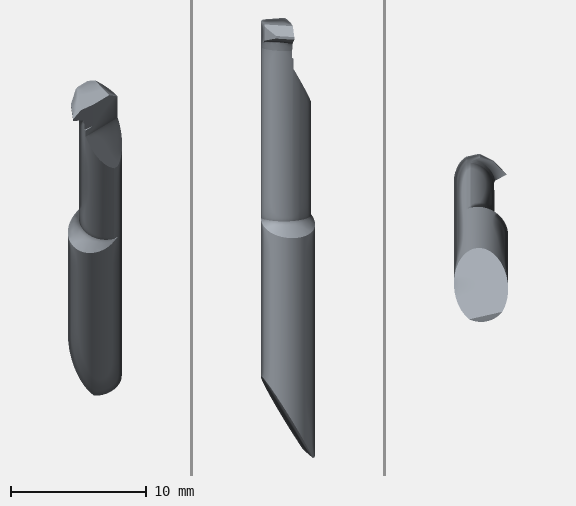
import cadquery as cq
import math

length = 32.98
diameter = 4.0
radius = diameter / 2
end_angle = math.radians(60)
foot_x = 1.55

shoulder_z = 18.07
neck_offset = 1.02
flare_bottom = 31.05
flare_top = 31.63
flare_width = 0.1
half_width = 1.88

undercut_z = 31.53
land_bottom = 32.12
land_top = 32.32
top_edge_y = -1.3
undercut_y = -1.0
relief_angle = math.radians(30)
flank_start = (-half_width, -0.35)
flank_end = (-1.3, -1.25)
back_chamfer = 0.8

rake_x = 0.13
rake_bottom = 29.65
chip_bottom = 30.4
chip_start_y = -0.23
chip_end_x = -0.1

margin = diameter


def cylinder(bottom, top, center_y=0.0):
    return cq.Workplane("XY", origin=(0, center_y, bottom)).circle(radius).extrude(top - bottom)


def side_prism(points):
    """Prism along Y from an outline in X and Z."""
    return cq.Workplane("XZ").polyline(points).close().extrude(margin, both=True)


def plan_prism(points, bottom):
    """Vertical prism from an outline in X and Y, reaching past the top."""
    return cq.Workplane("XY", origin=(0, 0, bottom)).polyline(points).close().extrude(length + margin - bottom)


def make_shank():
    cone_bottom = shoulder_z - neck_offset
    cone = cq.Workplane(cq.Solid.makeCone(
        radius + neck_offset, radius, neck_offset, cq.Vector(0, neck_offset, cone_bottom)
    ))
    shoulder = cylinder(cone_bottom, shoulder_z).intersect(cone)
    return cylinder(0, cone_bottom).union(shoulder)


def make_upper_blank(bottom):
    slab = cq.Workplane("XY", origin=(0, 0, bottom)).rect(2 * half_width, 2 * margin)
    return cylinder(bottom, length).intersect(slab.extrude(length - bottom))


def make_neck():
    blank = make_upper_blank(shoulder_z)
    flare = cq.Workplane(cq.Solid.makeCone(
        radius, radius + flare_width, flare_top - flare_bottom, cq.Vector(0, neck_offset, flare_bottom)
    ))
    stem = cylinder(shoulder_z, land_bottom, neck_offset)
    return blank.intersect(stem.union(flare))


def make_head():
    outline = [
        (margin, undercut_z),
        (undercut_y, undercut_z),
        (-radius, land_bottom),
        (-radius, land_top),
        (top_edge_y, length),
        (margin, length),
    ]
    across = cq.Vector(math.sin(relief_angle), math.cos(relief_angle), 0)
    along = cq.Vector(math.cos(relief_angle), -math.sin(relief_angle), 0)
    plane = cq.Plane(origin=(0, 0, 0), xDir=across, normal=along)
    normal_outline = [(y * math.cos(relief_angle), z) for y, z in outline]
    tooth = cq.Workplane(plane).polyline(normal_outline).close().extrude(margin, both=True)
    flank_slope = (flank_end[1] - flank_start[1]) / (flank_end[0] - flank_start[0])
    flank_foot = (flank_start[0] + (-margin - flank_start[1]) / flank_slope, -margin)
    flank = plan_prism([flank_start, flank_foot, (-margin, -margin), (-margin, flank_start[1])], undercut_z)
    return make_upper_blank(undercut_z).intersect(tooth).cut(flank)


def foot_cut():
    rise = (foot_x + margin) * math.tan(end_angle)
    return side_prism([(foot_x, 0), (-margin, rise), (-margin, 0)])


def rake_cut():
    ramp_bottom = rake_bottom - (margin - rake_x) * math.tan(end_angle)
    top = length + margin
    return side_prism([(rake_x, rake_bottom), (margin, ramp_bottom), (margin, top), (rake_x, top)])


def chip_cut():
    return plan_prism(
        [(rake_x, chip_start_y), (chip_end_x, -radius), (chip_end_x, -margin), (rake_x, -margin)], chip_bottom
    )


def back_chamfer_cut():
    corner = [(radius - back_chamfer, length), (radius, length), (radius, length - back_chamfer)]
    return cq.Workplane("YZ").polyline(corner).close().extrude(margin, both=True)


body = make_shank().union(make_neck()).union(make_head())
result = body.cut(foot_cut()).cut(rake_cut()).cut(chip_cut()).cut(back_chamfer_cut())